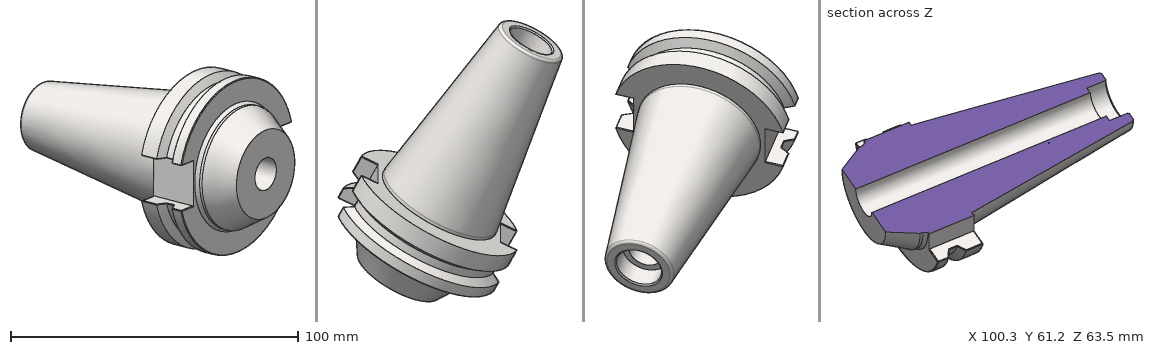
import cadquery as cq

length = 100.3

gauge_radius = 22.4
taper_length = 68.3
taper_rate = 7 / 24
small_radius = gauge_radius - taper_length * taper_rate / 2
end_round = 1.1

flange_diameter = 63.5
flange_radius = flange_diameter / 2
flange_start = 69.5
flange_end = 87.4
groove_root_radius = 28.6
groove_start = 76.3
root_start = 78.1
root_end = 81.2
groove_end = 83.2
rim_chamfer = 0.3

collar_radius = 23.3
nose_radius = 22.4
collar_end = 88.9
nose_cone_start = 90.0
nose_end_radius = 16.2

through_radius = 5.9
counterbore_radius = 8.2
counterbore_depth = 7.6
mouth_chamfer = 0.5

slot_width = 16.5
slot_edge_chamfer = 0.3
slot_floor_spacing = 48.1
slot_floor = slot_floor_spacing / 2


def revolve_about_x(points):
    """Turn a closed (x, radius) outline about the X axis."""
    outline = cq.Workplane("XY").polyline(points).close()
    return outline.revolve(360, (0, 0, 0), (1, 0, 0))


def make_shank():
    shank = revolve_about_x([
        (0, 0),
        (0, small_radius),
        (taper_length, gauge_radius),
        (flange_start, gauge_radius),
        (flange_start, 0),
    ])
    return shank.faces("<X").edges().fillet(end_round)


def slot_wall_edges(flange):
    """Outer edges of the slot walls, leaving out the corners at the slot floors."""
    tolerance = 0.001
    edges = []
    for edge in flange.edges().vals():
        box = edge.BoundingBox()
        flat = box.zlen < tolerance
        on_wall = abs(abs(edge.Center().z) - slot_width / 2) < tolerance
        at_floor = abs(abs(edge.Center().y) - slot_floor) < tolerance
        if flat and on_wall and not at_floor:
            edges.append(edge)
    return edges


def make_flange():
    flange = revolve_about_x([
        (flange_start, 0),
        (flange_start, flange_radius),
        (groove_start, flange_radius),
        (root_start, groove_root_radius),
        (root_end, groove_root_radius),
        (groove_end, flange_radius),
        (flange_end - rim_chamfer, flange_radius),
        (flange_end, flange_radius - rim_chamfer),
        (flange_end, 0),
    ])
    slot_length = flange_end - flange_start
    slot_depth = flange_radius - slot_floor
    for side in (-1, 1):
        slot = cq.Workplane("XY").box(slot_length, slot_depth, slot_width).translate(
            ((flange_start + flange_end) / 2, side * (slot_floor + slot_depth / 2), 0)
        )
        flange = flange.cut(slot)
    return flange.newObject(slot_wall_edges(flange)).chamfer(slot_edge_chamfer)


def make_nose():
    return revolve_about_x([
        (flange_end, 0),
        (flange_end, collar_radius),
        (collar_end, nose_radius),
        (nose_cone_start, nose_radius),
        (length, nose_end_radius),
        (length, 0),
    ])


def make_bore():
    return revolve_about_x([
        (0, 0),
        (0, counterbore_radius + mouth_chamfer),
        (mouth_chamfer, counterbore_radius),
        (counterbore_depth, counterbore_radius),
        (counterbore_depth, through_radius),
        (length, through_radius),
        (length, 0),
    ])


result = make_shank().union(make_flange()).union(make_nose()).cut(make_bore())